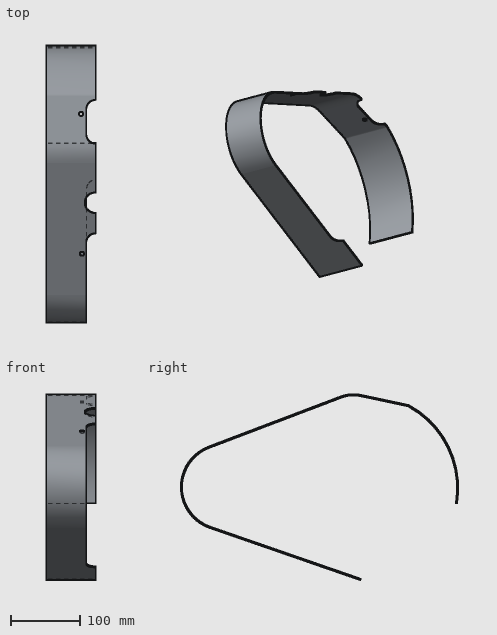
import cadquery as cq
import math

width = 71.5
thickness = 2.0

lower_slope = 19.1
upper_slope = 20.8
crown_slope = 12.0

nose_radius = 62.5
nose_height = 134.0
crown_radius = 51.3
total_height = 268.5
corner_radius = 10.0
rear_radius = 136.0
rear_height = 132.5
total_length = 400.5
rear_end_angle = -9.3

relief_depth = 13.5
relief_start_y = 129.0
relief_end_y = 206.5
crown_notch_front_y = 258.7
crown_notch_rear_y = 322.0
round_notch_y = 173.0
round_notch_radius = 16.0

hole_diameter = 6.0
crown_hole_x = 50.5
crown_hole_y = 301.5
upper_hole_x = 51.5
upper_hole_y = 99.5

join_gap = 0.005
cut_reach = 8.0


def polar(center, radius, angle):
    """Point at an angle measured from +Y towards +Z."""
    a = math.radians(angle)
    return (center[0] + radius * math.cos(a), center[1] + radius * math.sin(a))


lower_normal = 270 - lower_slope
upper_normal = 90 + upper_slope
crown_normal = 90 - crown_slope

nose_center = (nose_radius, nose_height)
crown_z = total_height - crown_radius
upper_rad = math.radians(upper_slope)
radius_drop = nose_radius - crown_radius
upper_length = (crown_z - nose_height - radius_drop * math.cos(upper_rad)) / math.sin(upper_rad)
crown_y = nose_radius + upper_length * math.cos(upper_rad) - radius_drop * math.sin(upper_rad)
crown_center = (crown_y, crown_z)

rear_center = (total_length - rear_radius, rear_height)
offset_start = polar(crown_center, crown_radius - corner_radius, crown_normal)
flat_direction = polar((0, 0), 1, crown_normal - 90)
start_dy = offset_start[0] - rear_center[0]
start_dz = offset_start[1] - rear_center[1]
along = start_dy * flat_direction[0] + start_dz * flat_direction[1]
distance_squared = start_dy**2 + start_dz**2
crown_length = -along + math.sqrt(along**2 - distance_squared + (rear_radius - corner_radius) ** 2)
corner_center = (
    offset_start[0] + crown_length * flat_direction[0],
    offset_start[1] + crown_length * flat_direction[1],
)
rear_start_angle = math.degrees(
    math.atan2(corner_center[1] - rear_center[1], corner_center[0] - rear_center[0])
)

bends = [
    (nose_center, nose_radius, lower_normal, upper_normal),
    (crown_center, crown_radius, upper_normal, crown_normal),
    (corner_center, corner_radius, crown_normal, rear_start_angle),
    (rear_center, rear_radius, rear_start_angle, rear_end_angle),
]

nose_lower_tangent = polar(nose_center, nose_radius, lower_normal)
lower_end = (nose_lower_tangent[0] + nose_lower_tangent[1] / math.tan(math.radians(lower_slope)), 0)


def add_bend(profile, start_point, center, radius, first, last):
    """Add an arc, with a straight run up to it where needed; also return its end point."""
    start = polar(center, radius, first)
    end = polar(center, radius, last)
    if math.dist(start_point, start) > join_gap:
        profile = profile.lineTo(*start)
    return profile.threePointArc(polar(center, radius, (first + last) / 2), end), end


def make_strip():
    """Trace the outer face to the rear end, then the inner face back to the lower end."""
    profile = cq.Workplane("YZ").moveTo(*lower_end)
    point = lower_end
    for center, radius, first, last in bends:
        profile, point = add_bend(profile, point, center, radius, first, last)
    for center, radius, first, last in reversed(bends):
        profile, point = add_bend(profile, point, center, radius - thickness, last, first)
    profile = profile.lineTo(*polar(lower_end, -thickness, lower_normal))
    return profile.close().extrude(width)


def flat_plane(center, radius, normal, y):
    """Plane on the outer face of a flat, with its origin at X = 0 and the given Y."""
    tangent = polar(center, radius, normal)
    facing = polar((0, 0), 1, normal)
    z = tangent[1] - (y - tangent[0]) * facing[0] / facing[1]
    return cq.Plane(origin=(0, y, z), xDir=(1, 0, 0), normal=(0, *facing))


def lower_plane(y):
    return flat_plane(nose_center, nose_radius, lower_normal, y)


def upper_plane(y):
    return flat_plane(nose_center, nose_radius, upper_normal, y)


def crown_plane(y):
    return flat_plane(crown_center, crown_radius, crown_normal, y)


def edge_notch(plane_at, slope, first_y, last_y):
    """Notch in the +X edge between two Y positions, with quarter-round ends."""
    length = (last_y - first_y) / math.cos(math.radians(slope))
    floor_half = length / 2 - relief_depth
    plane = plane_at((first_y + last_y) / 2)
    floor = (
        cq.Workplane(plane)
        .center(width, 0)
        .rect(2 * relief_depth, 2 * floor_half)
        .extrude(cut_reach, both=True)
    )
    ends = (
        cq.Workplane(plane)
        .pushPoints([(width, -floor_half), (width, floor_half)])
        .circle(relief_depth)
        .extrude(cut_reach, both=True)
    )
    return floor.union(ends)


def round_cutter(plane, x, radius):
    return cq.Workplane(plane).center(x, 0).circle(radius).extrude(cut_reach, both=True)


def nose_relief():
    """Narrows the strip around the nose and along part of both adjoining flats."""
    nose_end_y = nose_lower_tangent[0]
    flats_start_y = nose_end_y - relief_depth
    nose_cut = (
        cq.Workplane("XY")
        .box(relief_depth, nose_end_y, total_height, centered=False)
        .translate((width - relief_depth, 0, 0))
    )
    upper_cut = edge_notch(upper_plane, upper_slope, flats_start_y, relief_start_y)
    lower_cut = edge_notch(lower_plane, lower_slope, flats_start_y, relief_end_y)
    return nose_cut.union(upper_cut).union(lower_cut)


result = (
    make_strip()
    .cut(nose_relief())
    .cut(edge_notch(crown_plane, crown_slope, crown_notch_front_y, crown_notch_rear_y))
    .cut(round_cutter(upper_plane(round_notch_y), width, round_notch_radius))
    .cut(round_cutter(crown_plane(crown_hole_y), crown_hole_x, hole_diameter / 2))
    .cut(round_cutter(upper_plane(upper_hole_y), upper_hole_x, hole_diameter / 2))
)